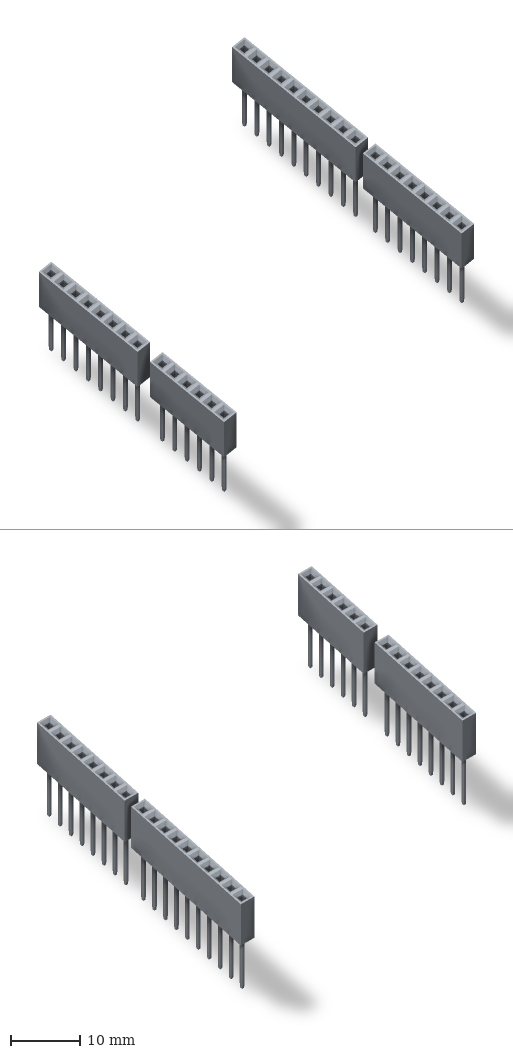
import cadquery as cq


pitch = 2.54
strip_depth = pitch
strip_height = 8.5

funnel_width = 2.0
hole_width = 1.0
funnel_depth = (funnel_width - hole_width) / 2

contact_thickness = 0.38
contact_height = 2.5
hollow_depth = 0.25

pin_width = 0.64
pin_length = 10.46
tip_length = 0.8
tip_width = 0.42

back_left_pins = 10
back_right_pins = 8
front_left_pins = 8
front_right_pins = 6

overall_length = 47.23
overall_depth = 50.84
row_spacing = overall_depth - strip_depth
back_left_end = back_left_pins * pitch
front_gap = pitch
front_left_end = overall_length - front_right_pins * pitch - front_gap


def make_block(width, length, bottom, top):
    """Centred rectangular block spanning the given heights."""
    return cq.Workplane("XY").workplane(offset=bottom).rect(width, length).extrude(top - bottom)


def make_socket():
    """Space removed from the strip for one contact."""
    hole = make_block(hole_width, hole_width, 0, strip_height)
    funnel = (
        cq.Workplane("XY")
        .workplane(offset=strip_height - funnel_depth)
        .rect(hole_width, hole_width)
        .workplane(offset=funnel_depth)
        .rect(funnel_width, funnel_width)
        .loft(ruled=True)
    )
    return hole.union(funnel)


def make_contact():
    """Plate reaching both side walls of the hole, with a pin below whose two sides taper to a tip."""
    half_hole = hole_width / 2
    half_pin = pin_width / 2
    half_tip = tip_width / 2
    tip_start = tip_length - pin_length
    return (
        cq.Workplane("XZ")
        .moveTo(-half_hole, 0)
        .lineTo(-half_pin, 0)
        .lineTo(-half_pin, tip_start)
        .lineTo(-half_tip, -pin_length)
        .lineTo(half_tip, -pin_length)
        .lineTo(half_pin, tip_start)
        .lineTo(half_pin, 0)
        .lineTo(half_hole, 0)
        .lineTo(half_hole, contact_height)
        .threePointArc((0, contact_height - hollow_depth), (-half_hole, contact_height))
        .close()
        .extrude(contact_thickness / 2, both=True)
    )


def make_strip(pin_count, right_end, row_y):
    """One header strip with its right end and row centre at the given place."""
    length = pin_count * pitch
    left_end = right_end - length
    strip_centre = (left_end + length / 2, row_y, 0)
    strip = make_block(length, strip_depth, 0, strip_height).translate(strip_centre)
    socket = make_socket()
    contact = make_contact()
    for index in range(pin_count):
        pin_x = left_end + pitch / 2 + index * pitch
        place = (pin_x, row_y, 0)
        strip = strip.cut(socket.translate(place))
        strip = strip.union(contact.translate(place))
    return strip


strip_places = [
    (back_left_pins, back_left_end, row_spacing),
    (back_right_pins, overall_length, row_spacing),
    (front_left_pins, front_left_end, 0),
    (front_right_pins, overall_length, 0),
]
strips = [make_strip(*place) for place in strip_places]

result = cq.Compound.makeCompound([strip.val() for strip in strips])